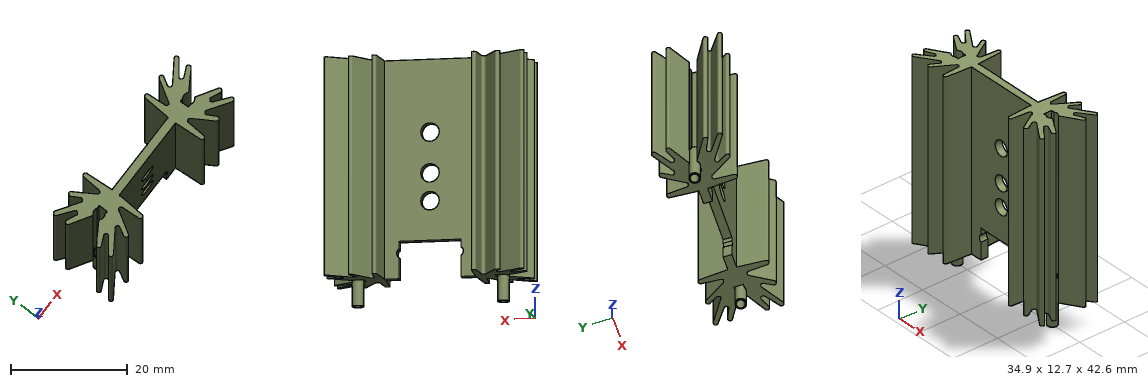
import cadquery as cq
import math

total_height = 42.6
sink_height = 38.1
sink_length = 34.9
sink_width = 12.7
pin_drop = total_height - sink_height

web_thickness = 1.58
web_half_length = 7.92

tip_radius = 0.43
valley_radius = 0.43
tip_reach_x = sink_length / 2 - tip_radius
tip_reach_y = sink_width / 2 - tip_radius
cross_fin_x = 8.7
slanted_fin_x = 12.8
end_fin_y = 3.32
cross_valley = (9.75, 2.55)
slanted_valley = (12.7, 4.05)
end_valley = (15.0, 3.32)

pin_spacing = 25.4
pin_x = pin_spacing / 2
pin_radius = 1.02
pin_bore_radius = 0.75
pin_length = 9.95
pin_chamfer = 0.1
throat_half_width = 0.65
throat_lip_radius = 0.15
throat_x = pin_x + math.sqrt(pin_radius**2 - throat_half_width**2)
slot_half_width = 0.85
slot_depth = 1.25

position_tolerance = 0.0005

hole_diameter = 3.2
hole_heights = (13.4, 18.28, 25.4)

notch_width = 10.78
notch_height = 6.5
relief_radius = 0.85
relief_height = 4.45
relief_bulge = 0.43


def tangent_angle(start, end):
    """Direction of the line tangent to two rounds, each (x, y, signed radius).

    A positive radius turns left, a negative one turns right, and zero is a sharp corner.
    """
    dx = end[0] - start[0]
    dy = end[1] - start[1]
    return math.atan2(dy, dx) - math.asin((end[2] - start[2]) / math.hypot(dx, dy))


def point_on_round(rounding, angle):
    """Point of a round where the outline travels in the direction `angle`."""
    x, y, radius = rounding
    return (x + radius * math.sin(angle), y - radius * math.cos(angle))


def fin_rounds():
    """Rounds of one quarter of the section, from the web corner to the pin throat, on the -X +Y side."""
    return [
        (-web_half_length, web_thickness / 2, 0),
        (-cross_fin_x, tip_reach_y, tip_radius),
        (-cross_valley[0], cross_valley[1], -valley_radius),
        (-slanted_fin_x, tip_reach_y, tip_radius),
        (-slanted_valley[0], slanted_valley[1], -valley_radius),
        (-tip_reach_x, tip_reach_y, tip_radius),
        (-end_valley[0], end_valley[1], -valley_radius),
        (-tip_reach_x, end_fin_y, tip_radius),
        (-throat_x, throat_half_width, 0),
    ]


def quarter_section():
    rounds = fin_rounds()
    angles = [tangent_angle(a, b) for a, b in zip(rounds, rounds[1:])]
    outline = cq.Workplane("XY").lineTo(0, web_thickness / 2).lineTo(*rounds[0][:2])
    for rounding, angle_in, angle_out in zip(rounds[1:-1], angles, angles[1:]):
        turn = math.remainder(angle_out - angle_in, math.tau)
        outline = outline.lineTo(*point_on_round(rounding, angle_in)).threePointArc(
            point_on_round(rounding, angle_in + turn / 2), point_on_round(rounding, angle_out)
        )
    outline = outline.lineTo(*rounds[-1][:2]).lineTo(-throat_x, 0).close()
    return outline.extrude(sink_height)


def pin_keyways():
    """A bore for each pin, with a flat-ended slot reaching past it toward the web."""
    bore_places = [(-pin_x, 0), (pin_x, 0)]
    slot_places = [(-pin_x + slot_depth / 2, 0), (pin_x - slot_depth / 2, 0)]
    bores = cq.Workplane("XY").pushPoints(bore_places).circle(pin_radius).extrude(sink_height)
    slot_width = 2 * slot_half_width
    slots = cq.Workplane("XY").pushPoints(slot_places).rect(slot_depth, slot_width).extrude(sink_height)
    return bores.union(slots)


def round_throat_lips(section):
    """Round the four upright edges where the end fins meet the pin bores."""
    lips = section.edges("|Z").filter(
        lambda edge: math.isclose(abs(edge.Center().x), throat_x, abs_tol=position_tolerance)
        and math.isclose(abs(edge.Center().y), throat_half_width, abs_tol=position_tolerance)
    )
    return lips.fillet(throat_lip_radius)


def mounting_holes():
    return (
        cq.Workplane("XZ")
        .pushPoints([(0, height) for height in hole_heights])
        .circle(hole_diameter / 2)
        .extrude(web_thickness, both=True)
    )


def bottom_notch():
    relief_x = notch_width / 2 + relief_bulge - relief_radius
    notch = (
        cq.Workplane("XZ")
        .center(0, notch_height / 2)
        .rect(notch_width, notch_height)
        .extrude(web_thickness, both=True)
    )
    reliefs = (
        cq.Workplane("XZ")
        .pushPoints([(-relief_x, relief_height), (relief_x, relief_height)])
        .circle(relief_radius)
        .extrude(web_thickness, both=True)
    )
    return notch.union(reliefs)


def make_heat_sink():
    quarter = quarter_section()
    half = quarter.union(quarter.mirror("XZ"))
    section = half.union(half.mirror("YZ")).clean()
    section = round_throat_lips(section.cut(pin_keyways()))
    return section.cut(mounting_holes()).cut(bottom_notch())


def make_pin(x):
    """Hollow pin with chamfered outer edges at both ends."""
    return (
        cq.Workplane("XY", origin=(x, 0, -pin_drop))
        .circle(pin_radius)
        .extrude(pin_length)
        .edges()
        .chamfer(pin_chamfer)
        .faces(">Z")
        .workplane()
        .circle(pin_bore_radius)
        .cutThruAll()
    )


heat_sink = make_heat_sink()
pins = [make_pin(x) for x in (-pin_x, pin_x)]
result = cq.Compound.makeCompound([heat_sink.val(), *[pin.val() for pin in pins]])